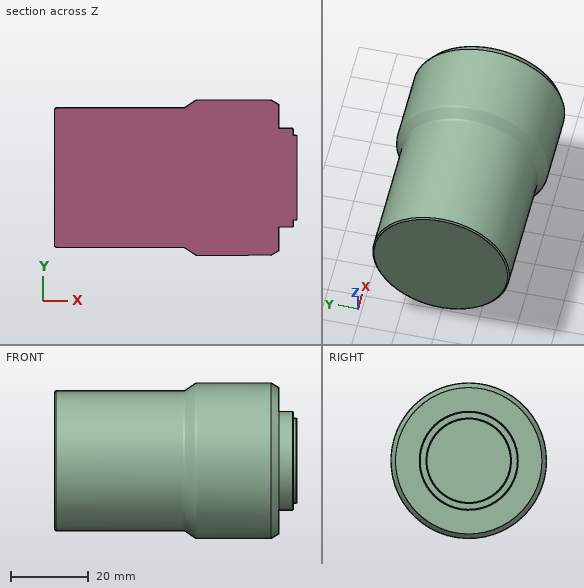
import cadquery as cq

total_length = 62.4
flare_start = 33.45
flare_end = 36.4
head_end = 57.7
collar_end = 61.4

body_radius = 18.0
head_radius = 20.0
collar_radius = 12.7
tip_radius = 11.0

flare_blend_radius = 1.0
body_chamfer = 0.4
head_chamfer_length = 2.0
head_chamfer_depth = 1.2
collar_chamfer = 0.25
tip_chamfer = 0.25


def make_shell():
    """Body, flare and head, with the flare blended into both cylinders."""
    profile = (
        cq.Workplane("XY")
        .moveTo(0, 0)
        .lineTo(0, body_radius - body_chamfer)
        .lineTo(body_chamfer, body_radius)
        .lineTo(flare_start, body_radius)
        .lineTo(flare_end, head_radius)
        .lineTo(head_end - head_chamfer_length, head_radius)
        .lineTo(head_end, head_radius - head_chamfer_depth)
        .lineTo(head_end, 0)
        .close()
    )
    shell = profile.revolve(360, (0, 0, 0), (1, 0, 0))
    margin = 0.05
    flare_edges = cq.selectors.BoxSelector(
        (flare_start - margin, -head_radius, -head_radius),
        (flare_end + margin, head_radius, head_radius),
    )
    circles = shell.edges("%CIRCLE").edges(flare_edges)
    return circles.fillet(flare_blend_radius)


def make_step(start, end, radius, chamfer):
    """Cylinder along X with its outer end chamfered."""
    step = cq.Workplane("YZ", origin=(start, 0, 0)).circle(radius).extrude(end - start)
    return step.faces(">X").edges().chamfer(chamfer)


collar = make_step(head_end, collar_end, collar_radius, collar_chamfer)
tip = make_step(collar_end, total_length, tip_radius, tip_chamfer)
result = make_shell().union(collar).union(tip)